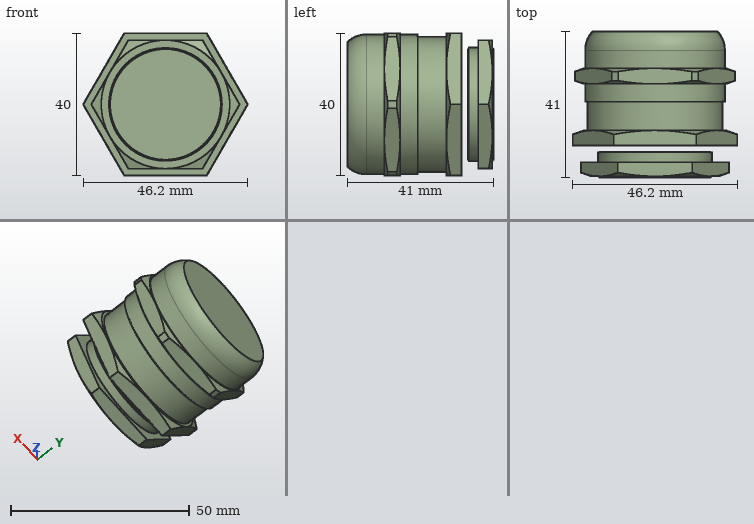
import cadquery as cq
import math

AXIS_PLANE = cq.Plane(origin=(0, 0, 0), xDir=(1, 0, 0), normal=(0, 1, 0))

LOCKNUT_START = 0.35
LOCKNUT_END = 4.35
THREAD_END = 7.0
SEAL_CENTER = 8.2
BODY_HEX_START = 8.95
BODY_HEX_END = 13.2
CAP_START = 21.3
CAP_HEX_START = 26.25
CAP_HEX_END = 30.62
DOME_START = 35.75
CAP_END = 41.0

THREAD_DIAMETER = 32.0
THREAD_TIP_DIAMETER = 31.0
BODY_DIAMETER = 38.0
CAP_DIAMETER = 39.3
DOME_END_DIAMETER = 34.9
SEAL_DIAMETER = 33.03
SEAL_SECTION_DIAMETER = 2.05

BODY_HEX_CORNERS = 46.2
BODY_HEX_FLATS = BODY_HEX_CORNERS * math.cos(math.radians(30))
LOCKNUT_FLATS = 36.05
CAP_HEX_TURNED_DIAMETER = 45.0
HEX_CHAMFER_ANGLE = 20.0
CORNER_CLEARANCE = 0.45


def axis_workplane(station):
    """Workplane across the axis, facing +Y."""
    return cq.Workplane(AXIS_PLANE).workplane(offset=station)


def cylinder(diameter, start, end):
    """Round section between two stations on the axis."""
    return axis_workplane(start).circle(diameter / 2).extrude(end - start)


def revolve_about_y(profile):
    """Turn a closed profile in the XY plane about the Y axis."""
    return profile.close().revolve(360, (0, 0, 0), (0, 1, 0))


def hexagon(flats, start, end, chamfer_start=False, chamfer_end=False, turned_diameter=None):
    """Hexagon with corners on X, trimmed by a turned blank with conical ends."""
    corners = flats / math.cos(math.radians(30))
    prism = axis_workplane(start).polygon(6, corners).extrude(end - start)
    face_radius = flats / 2
    if turned_diameter is None:
        outer_radius = corners / 2 + CORNER_CLEARANCE
    else:
        outer_radius = turned_diameter / 2
    chamfer = (outer_radius - face_radius) * math.tan(math.radians(HEX_CHAMFER_ANGLE))

    blank = cq.Workplane("XY").moveTo(0, start)
    if chamfer_start:
        blank = blank.lineTo(face_radius, start).lineTo(outer_radius, start + chamfer)
    else:
        blank = blank.lineTo(outer_radius, start)
    if chamfer_end:
        blank = blank.lineTo(outer_radius, end - chamfer).lineTo(face_radius, end)
    else:
        blank = blank.lineTo(outer_radius, end)
    return prism.intersect(revolve_about_y(blank.lineTo(0, end)))


def threaded_entry():
    """Plain thread cylinder with a chamfered tip and a narrower seal seat."""
    tip_chamfer = (THREAD_DIAMETER - THREAD_TIP_DIAMETER) / 2
    thread = cylinder(THREAD_DIAMETER, 0, THREAD_END).faces("<Y").chamfer(tip_chamfer)
    return thread.union(cylinder(THREAD_TIP_DIAMETER, THREAD_END, BODY_HEX_START))


def seal_ring():
    """O-ring pressed against the body hexagon."""
    section_radius = SEAL_SECTION_DIAMETER / 2
    center_radius = SEAL_DIAMETER / 2 - section_radius
    section_plane = cq.Plane(origin=(center_radius, SEAL_CENTER, 0), xDir=(-1, 0, 0), normal=(0, 0, 1))
    section = cq.Workplane(section_plane).circle(section_radius)
    return section.revolve(360, (center_radius, 0, 0), (center_radius, 1, 0))


def domed_cap():
    """Cap whose rear edge is an arc tangent to its cylindrical side."""
    side_radius = CAP_DIAMETER / 2
    end_radius = DOME_END_DIAMETER / 2
    profile = (
        cq.Workplane("XY")
        .moveTo(0, CAP_START)
        .lineTo(side_radius, CAP_START)
        .lineTo(side_radius, DOME_START)
        .tangentArcPoint((end_radius, CAP_END), relative=False)
        .lineTo(0, CAP_END)
    )
    return revolve_about_y(profile)


result = (
    threaded_entry()
    .union(seal_ring())
    .union(hexagon(LOCKNUT_FLATS, LOCKNUT_START, LOCKNUT_END, chamfer_start=True))
    .union(hexagon(BODY_HEX_FLATS, BODY_HEX_START, BODY_HEX_END, chamfer_end=True))
    .union(cylinder(BODY_DIAMETER, BODY_HEX_END, CAP_START))
    .union(domed_cap())
    .union(
        hexagon(
            BODY_HEX_FLATS,
            CAP_HEX_START,
            CAP_HEX_END,
            chamfer_start=True,
            chamfer_end=True,
            turned_diameter=CAP_HEX_TURNED_DIAMETER,
        )
    )
)